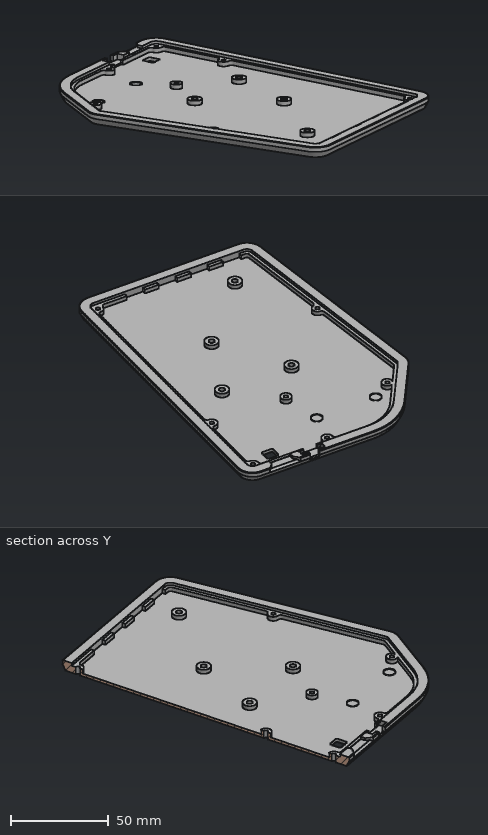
import cadquery as cq
import math

LENGTH = 173.4
WIDTH = 122.5
HEIGHT = 6.0

CORNER_RADIUS = 9.0
LARGE_RADIUS = 31.9
CORNERS = [
    (45.8, CORNER_RADIUS, CORNER_RADIUS),
    (LENGTH - CORNER_RADIUS, 24.1, CORNER_RADIUS),
    (LENGTH - CORNER_RADIUS, WIDTH - CORNER_RADIUS, CORNER_RADIUS),
    (CORNER_RADIUS, WIDTH - CORNER_RADIUS, CORNER_RADIUS),
    (LARGE_RADIUS, 46.3, LARGE_RADIUS),
]

FLOOR_TOP = 2.0
BEVEL_TOP = 3.5
LIP_TOP = 4.5
BEVEL_INSET = 1.7
RIM_CHAMFER = 0.3
RIM_WIDTH = 5.7
LIP_WIDTH = 1.9
NORTH_LIP_EXTRA = 0.2
POCKET_INSET = RIM_WIDTH + LIP_WIDTH

SCREW_BOSS_DIAMETER = 6.0
SCREW_HOLE_DIAMETER = 2.3
WEST_SCREW_X = 9.4
MIDDLE_SCREW_X = 50.5
NORTH_SCREW_Y = 112.9
MIDDLE_SCREW_Y = 68.8
BLENDED_SCREWS = [
    (WEST_SCREW_X, NORTH_SCREW_Y),
    (MIDDLE_SCREW_X, NORTH_SCREW_Y),
    (LENGTH - WEST_SCREW_X, NORTH_SCREW_Y),
    (WEST_SCREW_X, MIDDLE_SCREW_Y),
    (107.2, 16.3),
]
PLAIN_SCREWS = [(MIDDLE_SCREW_X, MIDDLE_SCREW_Y), (34.3, 18.2)]
SCREWS = BLENDED_SCREWS + PLAIN_SCREWS
BOSS_FILLET = 1.7

TOLERANCE = 0.002

STANDOFF_DIAMETER = 7.5
STANDOFF_HOLE_DIAMETER = 3.1
STANDOFF_TOP = LIP_TOP
STANDOFFS = [(72.3, 93.8), (110.6, 77.2), (72.3, 52.5), (148.8, 40.5)]

RECESS_DIAMETER = 6.2
RECESS_DEPTH = 0.5
RECESS_X = 29.7
RECESSES = [(RECESS_X, 63.0), (RECESS_X, 28.0)]

WINDOW_SIZE = 6.6
WINDOW_CENTER = (15.3, 99.2)
WINDOW_RADIUS = 0.9

NOTCH_COUNT = 4
NOTCH_LENGTH = 10.8
NOTCH_PITCH = 19.0
FIRST_NOTCH_CENTER_Y = 32.0

OPENING_Y = 99.4
OPENING_WIDTH = 12.3
OPENING_FLOOR = 4.7
OPENING_FLARE = 3.0
OPENING_SLOPE_RUN = 1.2
OPENING_SLOPE_DROP = 1.2

SEAT_WEST = 1.7
SEAT_EAST = 6.5
SEAT_SOUTH = 74.7
SEAT_NORTH = 88.1
SEAT_FLOOR = 3.0
MOUTH_SOUTH = 78.7
MOUTH_NORTH = 84.5
MOUTH_SLOPE_RUN = 1.2
MOUTH_SLOPE_DROP = 1.5
GAP_SOUTH = 76.5
GAP_NORTH = MOUTH_NORTH


def outline(inset, z):
    """Closed tray outline, moved inward by inset: arcs joined by their common tangents."""
    arcs = [(x, y, radius - inset) for x, y, radius in CORNERS]

    normals = []
    for (x0, y0, r0), (x1, y1, r1) in zip(arcs, arcs[1:] + arcs[:1]):
        span = math.hypot(x1 - x0, y1 - y0)
        heading = math.atan2(y1 - y0, x1 - x0)
        normals.append(heading - math.acos((r0 - r1) / span))

    def on_arc(arc, angle):
        x, y, radius = arc
        return (x + radius * math.cos(angle), y + radius * math.sin(angle))

    path = cq.Workplane("XY").workplane(offset=z).moveTo(*on_arc(arcs[0], normals[-1]))
    for i, arc in enumerate(arcs):
        start = normals[i - 1]
        turn = (normals[i] - start) % (2 * math.pi)
        if i > 0:
            path = path.lineTo(*on_arc(arc, start))
        path = path.threePointArc(on_arc(arc, start + turn / 2), on_arc(arc, normals[i]))
    return path.close()


def box(x0, x1, y0, y1, z0, z1):
    size = (x1 - x0, y1 - y0, z1 - z0)
    return cq.Workplane("XY").box(*size, centered=False).translate((x0, y0, z0))


def posts(points, diameter, z0, z1):
    """Upright cylinders of one diameter at several (x, y) points."""
    level = cq.Workplane("XY").workplane(offset=z0)
    return level.pushPoints(points).circle(diameter / 2).extrude(z1 - z0)


def body():
    """Solid tray blank with a bevelled underside and a chamfered top edge."""
    bevel_angle = math.degrees(math.atan2(BEVEL_INSET, BEVEL_TOP))
    lower = outline(0, BEVEL_TOP).extrude(-BEVEL_TOP, taper=bevel_angle)
    upper = outline(0, BEVEL_TOP).extrude(HEIGHT - BEVEL_TOP)
    return lower.union(upper.faces(">Z").chamfer(RIM_CHAMFER))


def is_boss_joint(edge):
    """True for an upright edge where a blended screw boss runs into the lip."""
    spot = edge.Center()
    for x, y in BLENDED_SCREWS:
        on_boss = abs(math.hypot(spot.x - x, spot.y - y) - SCREW_BOSS_DIAMETER / 2) < TOLERANCE
        if on_boss and abs(spot.y - y) > TOLERANCE:
            return True
    return False


def pocket():
    """Space inside the lip, with the screw bosses left standing, most of them blended into the lip."""
    space = outline(POCKET_INSET, FLOOR_TOP).extrude(LIP_TOP - FLOOR_TOP)
    north_edge = WIDTH - POCKET_INSET - NORTH_LIP_EXTRA
    space = space.cut(box(0, LENGTH, north_edge, WIDTH, 0, HEIGHT))
    space = space.cut(posts(SCREWS, SCREW_BOSS_DIAMETER, 0, HEIGHT))
    return space.edges("|Z").filter(is_boss_joint).fillet(BOSS_FILLET)


def east_notches():
    """Gaps in the east lip, reaching out to the rim wall."""
    east = LENGTH - RIM_WIDTH
    west = east - 2 * LIP_WIDTH
    notches = cq.Workplane("XY")
    for i in range(NOTCH_COUNT):
        south = FIRST_NOTCH_CENTER_Y - NOTCH_LENGTH / 2 + i * NOTCH_PITCH
        notches = notches.add(box(west, east, south, south + NOTCH_LENGTH, FLOOR_TOP, HEIGHT))
    return notches.combine()


def section_prism(section, south, north):
    """Prism with an (x, z) section, running along Y from south to north."""
    return cq.Workplane("XZ", origin=(0, north, 0)).polyline(section).close().extrude(north - south)


def west_opening():
    """Passage through the west rim, widening towards the outside, with a sloped sill."""
    half = OPENING_WIDTH / 2
    mouth_half = half + OPENING_FLARE
    plan = [
        (0, -mouth_half),
        (OPENING_FLARE, -half),
        (RIM_WIDTH, -half),
        (RIM_WIDTH, half),
        (OPENING_FLARE, half),
        (0, mouth_half),
    ]
    sill = OPENING_FLOOR - OPENING_SLOPE_DROP
    prism = cq.Workplane("XY", origin=(0, OPENING_Y, sill)).polyline(plan).close().extrude(HEIGHT - sill)
    section = [
        (0, sill),
        (OPENING_SLOPE_RUN, OPENING_FLOOR),
        (RIM_WIDTH, OPENING_FLOOR),
        (RIM_WIDTH, HEIGHT),
        (0, HEIGHT),
    ]
    return prism.intersect(section_prism(section, OPENING_Y - mouth_half, OPENING_Y + mouth_half))


def switch_seat():
    """Seat sunk into the west rim, its mouth to the outside and its gap in the lip."""
    seat = box(SEAT_WEST, SEAT_EAST, SEAT_SOUTH, SEAT_NORTH, SEAT_FLOOR, HEIGHT)
    mouth = box(0, SEAT_WEST, MOUTH_SOUTH, MOUTH_NORTH, SEAT_FLOOR, HEIGHT)
    section = [(0, SEAT_FLOOR), (MOUTH_SLOPE_RUN, SEAT_FLOOR), (0, SEAT_FLOOR - MOUTH_SLOPE_DROP)]
    slope = section_prism(section, MOUTH_SOUTH, MOUTH_NORTH)
    gap = box(SEAT_EAST, POCKET_INSET + LIP_WIDTH, GAP_SOUTH, GAP_NORTH, FLOOR_TOP, HEIGHT)
    return seat.union(mouth).union(slope).union(gap)


def window():
    """Square hole with rounded corners through the floor."""
    blank = cq.Workplane("XY").center(*WINDOW_CENTER).rect(WINDOW_SIZE, WINDOW_SIZE).extrude(FLOOR_TOP)
    return blank.edges("|Z").fillet(WINDOW_RADIUS)


tray = body()
tray = tray.cut(outline(RIM_WIDTH, LIP_TOP).extrude(HEIGHT - LIP_TOP))
tray = tray.cut(pocket())
tray = tray.cut(east_notches())
tray = tray.cut(west_opening())
tray = tray.cut(switch_seat())
tray = tray.cut(window())
tray = tray.cut(posts(SCREWS, SCREW_HOLE_DIAMETER, 0, LIP_TOP))
tray = tray.cut(posts(RECESSES, RECESS_DIAMETER, FLOOR_TOP - RECESS_DEPTH, FLOOR_TOP))
tray = tray.union(posts(STANDOFFS, STANDOFF_DIAMETER, FLOOR_TOP, STANDOFF_TOP))
tray = tray.cut(posts(STANDOFFS, STANDOFF_HOLE_DIAMETER, FLOOR_TOP, STANDOFF_TOP))

result = tray